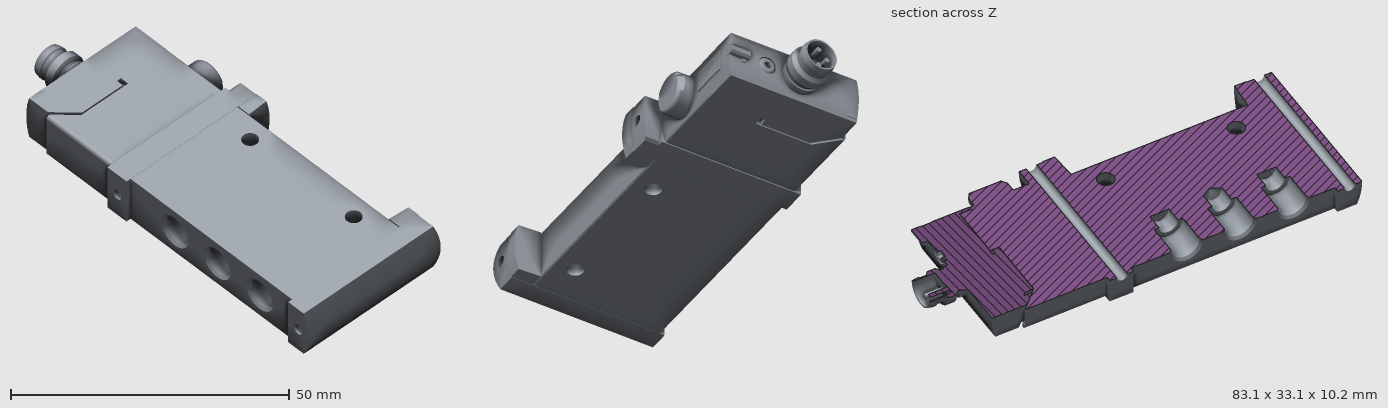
import cadquery as cq
import math


TOTAL_LENGTH = 83.1
HEIGHT = 10.2
BODY_HEIGHT = 10.1
COIL_HEIGHT = 9.8

CAP_TOP = 32.9
EAR_TOP = 33.1
CROWN = 0.8
NEAR_CAP_X = 30.8
NEAR_CAP_LENGTH = 5.0
FAR_CAP_X = 77.95
FAR_CAP_BULGE = 1.1
EAR_LENGTH_TOP = 2.5
EAR_LENGTH_ROOT = 2.8
CAP_HOLE_DIAMETER = 2.2
CAP_HOLE_INSET = 2.6
CAP_NOSE_EDGE_Z = 4.65
CAP_NOSE_RISE = 0.7
CAP_NOSE_SETBACK = 1.25

BLOCK_BOTTOM = 1.0
BLOCK_TOP = 27.7
BLOCK_CHAMFER = 0.25
MOUNT_HOLE_DIAMETER = 3.2
MOUNT_HOLE_Y = 23.4
MOUNT_HOLE_X = (43.4, 70.4)
PORT_PITCH = 11.05
PORT_MIDDLE_X = 58.4
PORT_DIAMETER = 5.9
PORT_MOUTH_DIAMETER = 6.9
PORT_DEPTH = 6.65
PORT_INNER_DIAMETER = 3.9
PORT_INNER_DEPTH = 10.0
DRILL_POINT_ANGLE = 118

HEAD_X = 7.6
HEAD_FRONT_CROWN = 0.75
HEAD_BOTTOM = 2.0
HEAD_TOP = 29.25
HEAD_BACK_X = 16.0
TOE_BACK_X = 17.5
TOE_TOP = 16.45
COIL_FRONT_X = 13.9
COIL_BOTTOM = 1.0
COIL_STEP_X = 17.9
COIL_STEP_Y = 17.45
COIL_EDGE_RADIUS = 0.75
COIL_TOP_EDGE_RADIUS = 0.5
HEAD_SLANT = 11.2
COIL_SLANT = 12.05
TONGUE_SLANT = 12.8
TONGUE_HEIGHT = 7.65
TONGUE_FRONT_X = 16.5
SLIT_BOTTOM = 4.4
SLIT_WIDTH = 0.5

BUTTON_X = 23.5
BUTTON_DIAMETER = 8.15
BUTTON_TOP = 32.4
BUTTON_RADIUS = 0.75
BUTTON_FLANK_WIDTH = 3.6
BUTTON_FLANK_BOTTOM = 31.3

HOOK_FRONT_X = 10.8
HOOK_TIP_X = 18.6
HOOK_BOTTOM = 28.7
HOOK_TOP = 29.3
HOOK_WIDTH = 4.15
HOOK_CHAMFER = 0.3

PLUG_Y = 14.5
PLUG_TIP_DIAMETER = 6.9
PLUG_WAIST_DIAMETER = 6.5
PLUG_COLLAR_DIAMETER = 8.0
PLUG_NECK_DIAMETER = 7.2
PLUG_BORE_DIAMETER = 5.8
PLUG_BORE_DEPTH = 4.6
PIN_DIAMETER = 1.0
PIN_LENGTH = 3.7
PIN_CIRCLE_RADIUS = 1.75
SCREW_Y = 21.1
SCREW_DIAMETER = 3.6
SCREW_SEAT_DEPTH = 0.8
SCREW_EDGE_RADIUS = 0.7
SCREW_SOCKET_DIAMETER = 1.6
SCREW_SOCKET_DEPTH = 1.0
LATCH_BOTTOM = 25.3
LATCH_TOP = 29.3
LATCH_X = 6.5
LATCH_WIDTH = 1.75
LATCH_CHAMFER = 0.4
LATCH_LUG_BOTTOM = 25.8
LATCH_LUG_LENGTH = 0.8
LATCH_LUG_WIDTH = 2.9
LATCH_LUG_X = 7.4
PAD_X = 8.0
PAD_BOTTOM = 2.4
PAD_TOP = 4.15
PAD_WIDTH = 8.5


def block(x0, x1, y0, y1, height):
    """Box between two X and two Y values, centred on Z = 0."""
    return cq.Workplane("XY").box(x1 - x0, y1 - y0, height).translate(((x0 + x1) / 2, (y0 + y1) / 2, 0))


def plate(points, height):
    """Plate with an XY outline, centred on Z = 0."""
    return cq.Workplane("XY").polyline(points).close().extrude(height / 2, both=True)


def crowned_bar(x0, x1, bottom, crest, height):
    """Bar along X whose +Y face is an arc that is highest at Z = 0."""
    half = height / 2
    shoulder = crest - CROWN
    return (
        cq.Workplane("YZ", origin=(x0, 0, 0))
        .moveTo(shoulder, -half)
        .lineTo(bottom, -half)
        .lineTo(bottom, half)
        .lineTo(shoulder, half)
        .threePointArc((crest, 0), (shoulder, -half))
        .close()
        .extrude(x1 - x0)
    )


def bulged_bar(crest_x, edge_x, back_x, y0, y1, height):
    """Bar along Y whose face from edge_x is an arc that reaches crest_x at Z = 0."""
    half = height / 2
    return (
        cq.Workplane("XZ", origin=(0, y1, 0))
        .moveTo(edge_x, -half)
        .lineTo(back_x, -half)
        .lineTo(back_x, half)
        .lineTo(edge_x, half)
        .threePointArc((crest_x, 0), (edge_x, -half))
        .close()
        .extrude(y1 - y0)
    )


def rod_x(x0, x1, y, z, diameter):
    """Cylinder along X."""
    return cq.Workplane("YZ", origin=(x0, y, z)).circle(diameter / 2).extrude(x1 - x0)


def rod_y(x, y0, y1, diameter):
    """Cylinder along Y on the mid-plane."""
    return cq.Workplane("XZ", origin=(x, y0, 0)).circle(diameter / 2).extrude(y0 - y1)


def hook():
    """Flat hook on the +Y side of the connector head, with a bevelled tip."""
    solid = block(HOOK_FRONT_X, HOOK_TIP_X, HOOK_BOTTOM, HOOK_TOP, HOOK_WIDTH)
    return solid.edges(">X and >Y").chamfer(HOOK_CHAMFER)


def ear(cap_face_x, direction):
    """Tapered ear of a cap that reaches over the +Y face of the valve block."""
    root_x = cap_face_x + direction * EAR_LENGTH_ROOT
    tip_x = cap_face_x + direction * EAR_LENGTH_TOP
    outline = [(cap_face_x, BLOCK_TOP), (root_x, BLOCK_TOP), (tip_x, EAR_TOP), (cap_face_x, EAR_TOP)]
    low_x = min(cap_face_x, root_x)
    crown = crowned_bar(low_x, low_x + EAR_LENGTH_ROOT, BLOCK_TOP, EAR_TOP, BODY_HEIGHT)
    return plate(outline, BODY_HEIGHT).intersect(crown)


def near_cap():
    """Cap beside the coil: flat below the coil top and with a rounded nose above it."""
    back_x = NEAR_CAP_X + NEAR_CAP_LENGTH
    nose_edge_x = NEAR_CAP_X + CAP_NOSE_RISE
    half = HEIGHT / 2
    nose = (
        cq.Workplane("XZ", origin=(0, CAP_TOP, 0))
        .moveTo(back_x, -half)
        .lineTo(back_x, half)
        .lineTo(NEAR_CAP_X + CAP_NOSE_SETBACK, half)
        .lineTo(nose_edge_x, CAP_NOSE_EDGE_Z)
        .threePointArc((NEAR_CAP_X, 0), (nose_edge_x, -CAP_NOSE_EDGE_Z))
        .lineTo(NEAR_CAP_X + CAP_NOSE_SETBACK, -half)
        .close()
        .extrude(CAP_TOP - HEAD_TOP)
    )
    lower = block(NEAR_CAP_X, back_x, 0, HEAD_TOP, HEIGHT)
    crown = crowned_bar(NEAR_CAP_X, back_x, 0, CAP_TOP, HEIGHT)
    hole = rod_y(NEAR_CAP_X + CAP_HOLE_INSET, 0, CAP_TOP, CAP_HOLE_DIAMETER)
    return lower.union(nose).intersect(crown).union(ear(back_x, 1)).cut(hole)


def far_cap():
    """Cap at the far end, with a bulged +X face."""
    crown = crowned_bar(FAR_CAP_X, TOTAL_LENGTH, 0, CAP_TOP, HEIGHT)
    bulge = bulged_bar(TOTAL_LENGTH, TOTAL_LENGTH - FAR_CAP_BULGE, FAR_CAP_X, 0, CAP_TOP, HEIGHT)
    hole = rod_y(FAR_CAP_X + CAP_HOLE_INSET, 0, CAP_TOP, CAP_HOLE_DIAMETER)
    return crown.intersect(bulge).union(ear(FAR_CAP_X, -1)).cut(hole)


def port(x, has_drill_point):
    """Stepped port bored from the -Y face of the valve block, with a chamfered mouth."""
    mouth = PORT_MOUTH_DIAMETER / 2
    bore = PORT_DIAMETER / 2
    inner = PORT_INNER_DIAMETER / 2
    point = inner / math.tan(math.radians(DRILL_POINT_ANGLE / 2)) if has_drill_point else 0
    outline = [
        (0, 0),
        (mouth, 0),
        (bore, mouth - bore),
        (bore, PORT_DEPTH),
        (inner, PORT_DEPTH),
        (inner, PORT_INNER_DEPTH),
        (0, PORT_INNER_DEPTH + point),
    ]
    tool = cq.Workplane("XY").polyline(outline).close().revolve(360, (0, 0, 0), (0, 1, 0))
    return tool.translate((x, BLOCK_BOTTOM, 0))


def valve_block():
    """Central block with the mounting holes and the three ports."""
    solid = block(NEAR_CAP_X + NEAR_CAP_LENGTH, FAR_CAP_X, BLOCK_BOTTOM, BLOCK_TOP, BODY_HEIGHT)
    solid = solid.faces(">Y").edges("|X").chamfer(BLOCK_CHAMFER)
    for x in MOUNT_HOLE_X:
        hole = cq.Workplane("XY").center(x, MOUNT_HOLE_Y).circle(MOUNT_HOLE_DIAMETER / 2)
        solid = solid.cut(hole.extrude(HEIGHT, both=True))
    for step in (-1, 0, 1):
        solid = solid.cut(port(PORT_MIDDLE_X + step * PORT_PITCH, step == 0))
    return solid


def coil():
    """Pilot coil with rounded long edges, stepped and slanted where it faces the connector head."""
    bar = crowned_bar(COIL_FRONT_X, NEAR_CAP_X, COIL_BOTTOM, HEAD_TOP, COIL_HEIGHT)
    bar = bar.faces("<Y").edges("|X").fillet(COIL_EDGE_RADIUS)
    bar = bar.edges("|X").edges(">Y").fillet(COIL_TOP_EDGE_RADIUS)
    outline = [
        (COIL_FRONT_X, COIL_BOTTOM),
        (NEAR_CAP_X, COIL_BOTTOM),
        (NEAR_CAP_X, HEAD_TOP),
        (HEAD_BACK_X, HEAD_TOP),
        (HEAD_BACK_X, COIL_STEP_Y),
        (COIL_STEP_X, COIL_STEP_Y),
        (COIL_STEP_X, COIL_STEP_X - COIL_SLANT),
        (COIL_FRONT_X, COIL_FRONT_X - COIL_SLANT),
    ]
    rebate = [
        (COIL_BOTTOM + COIL_SLANT, COIL_BOTTOM),
        (COIL_BOTTOM + TONGUE_SLANT, COIL_BOTTOM),
        (COIL_STEP_X, COIL_STEP_X - TONGUE_SLANT),
        (COIL_STEP_X, COIL_STEP_X - COIL_SLANT),
    ]
    solid = bar.intersect(plate(outline, COIL_HEIGHT))
    return solid.cut(plate(rebate, TONGUE_HEIGHT)).cut(hook())


def button():
    """Round override button whose rim is bevelled on two flanks and rounded elsewhere."""
    radius = BUTTON_DIAMETER / 2
    base = HEAD_TOP - CROWN
    solid = rod_y(BUTTON_X, base, BUTTON_TOP, BUTTON_DIAMETER).faces(">Y").edges().fillet(BUTTON_RADIUS)
    bevelled_profile = [
        (0, base),
        (radius, base),
        (radius, BUTTON_FLANK_BOTTOM),
        (radius - BUTTON_RADIUS, BUTTON_TOP),
        (0, BUTTON_TOP),
    ]
    bevelled = cq.Workplane("XY").polyline(bevelled_profile).close().revolve(360, (0, 0, 0), (0, 1, 0))
    bevelled = bevelled.translate((BUTTON_X, 0, 0))
    strip = block(BUTTON_X - radius, BUTTON_X + radius, base, BUTTON_TOP, BUTTON_FLANK_WIDTH)
    return solid.cut(strip).union(bevelled.intersect(strip))


def valve_body():
    """Valve block, caps, coil and button as one solid."""
    return valve_block().union(near_cap()).union(far_cap()).union(coil()).union(button())


def head_block():
    """Head with a crowned front and top and a toe that reaches under the coil step."""
    outline = [
        (HEAD_X, HEAD_BOTTOM),
        (HEAD_BOTTOM + HEAD_SLANT, HEAD_BOTTOM),
        (TOE_BACK_X, TOE_BACK_X - HEAD_SLANT),
        (TOE_BACK_X, TOE_TOP),
        (HEAD_BACK_X, TOE_TOP),
        (HEAD_BACK_X, HEAD_TOP),
        (HEAD_X, HEAD_TOP),
    ]
    front_edge_x = HEAD_X + HEAD_FRONT_CROWN
    crown = crowned_bar(HEAD_X, TOE_BACK_X, HEAD_BOTTOM, HEAD_TOP, COIL_HEIGHT)
    front = bulged_bar(HEAD_X, front_edge_x, TOE_BACK_X, HEAD_BOTTOM, HEAD_TOP, COIL_HEIGHT)
    return plate(outline, COIL_HEIGHT).intersect(crown).intersect(front)


def tongue():
    """Thinner tongue that closes the gap between the head and the coil."""
    outline = [
        (HEAD_BOTTOM + HEAD_SLANT, HEAD_BOTTOM),
        (HEAD_BOTTOM + TONGUE_SLANT, HEAD_BOTTOM),
        (COIL_STEP_X, COIL_STEP_X - TONGUE_SLANT),
        (COIL_STEP_X, COIL_STEP_Y),
        (TONGUE_FRONT_X, COIL_STEP_Y),
        (TONGUE_FRONT_X, TOE_TOP),
        (TOE_BACK_X, TOE_TOP),
        (TOE_BACK_X, TOE_BACK_X - HEAD_SLANT),
    ]
    slit_top = SLIT_BOTTOM + SLIT_WIDTH
    slit = block(SLIT_BOTTOM + HEAD_SLANT, COIL_STEP_X, SLIT_BOTTOM, slit_top, TONGUE_HEIGHT)
    return plate(outline, TONGUE_HEIGHT).cut(slit)


def plug():
    """Round plug with a collar, as a profile of (x, radius) turned about its axis."""
    tip = PLUG_TIP_DIAMETER / 2
    waist = PLUG_WAIST_DIAMETER / 2
    collar = PLUG_COLLAR_DIAMETER / 2
    neck = PLUG_NECK_DIAMETER / 2
    root_x = HEAD_X + HEAD_FRONT_CROWN
    profile = [
        (0, 0),
        (0, waist),
        (1.0, tip),
        (1.6, tip),
        (1.8, waist),
        (2.9, waist),
        (3.6, collar),
        (5.2, collar),
        (5.8, waist),
        (6.6, waist),
        (6.6, neck),
        (root_x, neck),
        (root_x, 0),
    ]
    solid = cq.Workplane("XY").polyline(profile).close().revolve(360, (0, 0, 0), (1, 0, 0))
    solid = solid.translate((0, PLUG_Y, 0))
    return solid.cut(rod_x(0, PLUG_BORE_DEPTH, PLUG_Y, 0, PLUG_BORE_DIAMETER))


def contact_pins():
    """Three contact pins on the floor of the plug bore."""
    pins = cq.Workplane("XY")
    for angle in (90, 180, 270):
        y = PLUG_Y + PIN_CIRCLE_RADIUS * math.cos(math.radians(angle))
        z = PIN_CIRCLE_RADIUS * math.sin(math.radians(angle))
        pins = pins.union(rod_x(PLUG_BORE_DEPTH - PIN_LENGTH, PLUG_BORE_DEPTH, y, z, PIN_DIAMETER))
    return pins


def screw_seat():
    """Round recess that holds the fastening screw."""
    return rod_x(HEAD_X, HEAD_X + SCREW_SEAT_DEPTH, SCREW_Y, 0, SCREW_DIAMETER)


def screw_head():
    """Rounded screw head with a hexagon socket."""
    solid = rod_x(HEAD_X, HEAD_X + SCREW_SEAT_DEPTH, SCREW_Y, 0, SCREW_DIAMETER)
    solid = solid.faces("<X").edges().fillet(SCREW_EDGE_RADIUS)
    socket = cq.Workplane("YZ", origin=(HEAD_X, SCREW_Y, 0)).polygon(6, SCREW_SOCKET_DIAMETER)
    return solid.cut(socket.extrude(SCREW_SOCKET_DEPTH))


def latch():
    """Bevelled latch rib on the front face, with a small lug on each side."""
    root_x = HEAD_X + HEAD_FRONT_CROWN
    rib = block(LATCH_X, root_x, LATCH_BOTTOM, LATCH_TOP, LATCH_WIDTH)
    rib = rib.faces("<X").edges("|Y").chamfer(LATCH_CHAMFER)
    lug_top = LATCH_LUG_BOTTOM + LATCH_LUG_LENGTH
    lugs = block(LATCH_LUG_X, root_x, LATCH_LUG_BOTTOM, lug_top, LATCH_LUG_WIDTH)
    return rib.union(lugs)


def pad():
    """Narrow flat pad low on the crowned front face."""
    return block(PAD_X, HEAD_X + HEAD_FRONT_CROWN, PAD_BOTTOM, PAD_TOP, PAD_WIDTH)


def connector_head():
    """Head block with its tongue, hook, plug, pins, screw, latch and pad as one solid."""
    solid = head_block().union(tongue()).union(hook()).union(pad())
    solid = solid.cut(screw_seat()).union(screw_head())
    return solid.union(plug()).union(contact_pins()).union(latch())


valve = valve_body()
connector = connector_head()
result = cq.Compound.makeCompound([valve.solids().val(), connector.solids().val()])